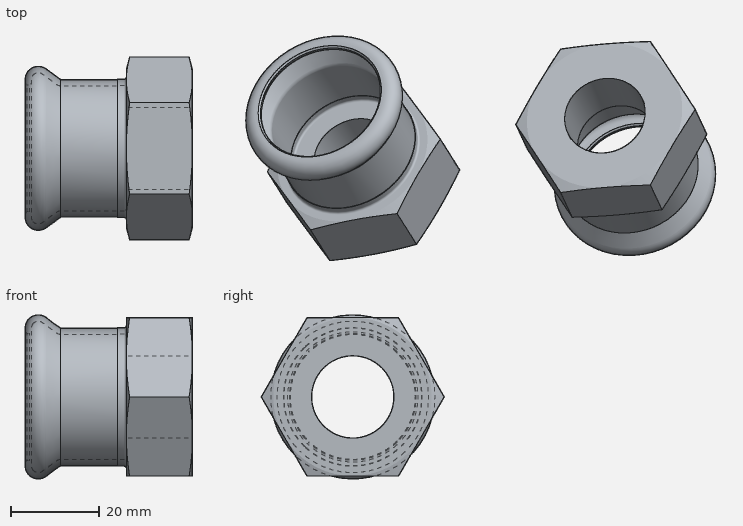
import cadquery as cq
import math

total_length = 38.0
hex_length = 15.0
hex_start = total_length - hex_length
weld_position = 21.0

wall = 1.45
tube_outer_radius = 31.3 / 2
tube_bore_radius = tube_outer_radius - wall
bead_outer_radius = 3.0
bead_inner_radius = bead_outer_radius - wall
bead_centre_radius = tube_outer_radius
bead_cone_angle = math.radians(36.2)
bead_neck_fillet = 1.5

lip_radius = 28.8 / 2
lip_chamfer = 0.4

collar_outer_radius = 31.5 / 2
collar_wall = 1.5
collar_bore_radius = collar_outer_radius - collar_wall
collar_fillet = 0.5

hex_across_flats = 36.0
hex_corner_radius = hex_across_flats / 2 / math.cos(math.radians(30))
hex_chamfer_angle = math.radians(15)
thread_bore_radius = 18.63 / 2


def revolve_about_x(profile):
    """Turn a closed profile, drawn as (x, radius), about the X axis."""
    return profile.close().revolve(360, (0, 0, 0), (1, 0, 0))


def bead_point(radius, angle):
    """Point (x, radius) on a bead circle; the angle runs from the radial direction towards +X."""
    return (
        bead_outer_radius + radius * math.sin(angle),
        bead_centre_radius + radius * math.cos(angle),
    )


def cone_end(start, end_radius):
    """Point where the bead's cone, leaving from start, comes down to end_radius."""
    return (start[0] + (start[1] - end_radius) / math.tan(bead_cone_angle), end_radius)


def corner_arc_middle(centre_x, centre_radius, radius, side):
    """Middle of a quarter arc that faces the axis (side -1) or away from it (side 1)."""
    reach = radius * math.cos(math.radians(45))
    return (centre_x + reach, centre_radius + side * reach)


def make_body():
    """Solid outside of the bead, tube and collar."""
    cone_start = bead_point(bead_outer_radius, bead_cone_angle)
    fillet_end_radius = collar_outer_radius + collar_fillet
    profile = (
        cq.Workplane("XY")
        .moveTo(0, 0)
        .lineTo(0, bead_centre_radius)
        .threePointArc(bead_point(bead_outer_radius, 0), cone_start)
        .lineTo(*cone_end(cone_start, tube_outer_radius))
        .lineTo(weld_position, tube_outer_radius)
        .lineTo(weld_position, collar_outer_radius)
        .lineTo(hex_start - collar_fillet, collar_outer_radius)
        .threePointArc(
            corner_arc_middle(hex_start - collar_fillet, fillet_end_radius, collar_fillet, -1),
            (hex_start, fillet_end_radius),
        )
        .lineTo(hex_start, 0)
    )
    return revolve_about_x(profile)


def make_hexagon():
    """Hexagon with corners on the Y axis and both ends chamfered from the flats outwards."""
    prism = (
        cq.Workplane("YZ", origin=(hex_start, 0, 0))
        .polygon(6, 2 * hex_corner_radius)
        .extrude(hex_length)
    )
    flat_radius = hex_across_flats / 2
    corner_drop = (hex_corner_radius - flat_radius) * math.tan(hex_chamfer_angle)
    envelope = revolve_about_x(
        cq.Workplane("XY")
        .moveTo(hex_start, 0)
        .lineTo(hex_start, flat_radius)
        .lineTo(hex_start + corner_drop, hex_corner_radius)
        .lineTo(total_length - corner_drop, hex_corner_radius)
        .lineTo(total_length, flat_radius)
        .lineTo(total_length, 0)
    )
    return prism.intersect(envelope)


def make_bore():
    """Hollow inside: mouth lip, ring groove, socket and thread bore."""
    groove_cone_start = bead_point(bead_inner_radius, bead_cone_angle)
    neck = cone_end(groove_cone_start, tube_bore_radius)
    neck_tangent = bead_neck_fillet * math.tan(bead_cone_angle / 2)
    fillet_start = (
        neck[0] - neck_tangent * math.cos(bead_cone_angle),
        neck[1] + neck_tangent * math.sin(bead_cone_angle),
    )
    fillet_end = (neck[0] + neck_tangent, tube_bore_radius)
    fillet_middle = (
        fillet_end[0] - bead_neck_fillet * math.sin(bead_cone_angle / 2),
        fillet_end[1] + bead_neck_fillet * (1 - math.cos(bead_cone_angle / 2)),
    )
    floor_radius = collar_bore_radius - collar_fillet
    profile = (
        cq.Workplane("XY")
        .moveTo(0, 0)
        .lineTo(0, lip_radius + lip_chamfer)
        .lineTo(lip_chamfer, lip_radius)
        .lineTo(wall - lip_chamfer, lip_radius)
        .lineTo(wall, lip_radius + lip_chamfer)
        .lineTo(wall, bead_centre_radius)
        .threePointArc(bead_point(bead_inner_radius, 0), groove_cone_start)
        .lineTo(*fillet_start)
        .threePointArc(fillet_middle, fillet_end)
        .lineTo(weld_position, tube_bore_radius)
        .lineTo(weld_position, collar_bore_radius)
        .lineTo(hex_start - collar_fillet, collar_bore_radius)
        .threePointArc(
            corner_arc_middle(hex_start - collar_fillet, floor_radius, collar_fillet, 1),
            (hex_start, floor_radius),
        )
        .lineTo(hex_start, thread_bore_radius)
        .lineTo(total_length, thread_bore_radius)
        .lineTo(total_length, 0)
    )
    return revolve_about_x(profile)


result = make_body().union(make_hexagon()).cut(make_bore())